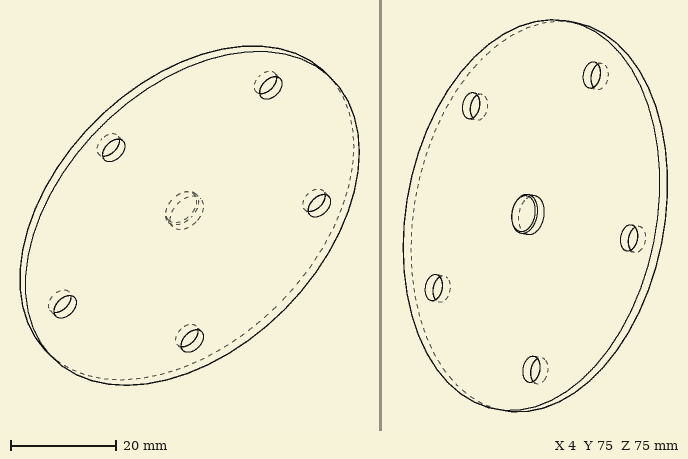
import cadquery as cq

disc_diameter = 75.0
total_thickness = 4.0
disc_thickness = total_thickness / 2
boss_diameter = 7.5
boss_edge_chamfer = 0.3
hole_count = 5
hole_diameter = 5.0
hole_circle_radius = 30.0
first_hole_angle = -90.0

boss_height = total_thickness - disc_thickness

disc = cq.Workplane("YZ").circle(disc_diameter / 2).extrude(disc_thickness)

holes = (
    cq.Workplane("YZ")
    .polarArray(hole_circle_radius, first_hole_angle, 360, hole_count)
    .circle(hole_diameter / 2)
    .extrude(disc_thickness)
)

boss = (
    cq.Workplane("YZ")
    .circle(boss_diameter / 2)
    .extrude(-boss_height)
    .faces("<X")
    .chamfer(boss_edge_chamfer)
)

result = disc.cut(holes).union(boss)